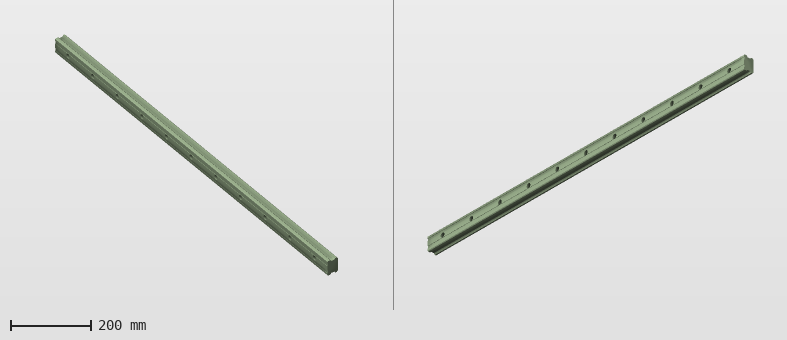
import math

import cadquery as cq

LENGTH = 1160.0
HEIGHT = 32.0
WIDTH = 45.0
HALF_WIDTH = WIDTH / 2
BASE_Y = -HEIGHT / 2
TOP_Y = HEIGHT / 2

BASE_CHAMFER = 2.0
WAIST_DEPTH = 4.0
WAIST_HALF_WIDTH = HALF_WIDTH - WAIST_DEPTH
WAIST_LOWER_Y = -3.5
FLANGE_Y = WAIST_LOWER_Y - WAIST_DEPTH

WAIST_UPPER_Y = 5.1
FLANK_LOWER_Y = 8.4
FLANK_UPPER_Y = 12.6
TOP_HALF_WIDTH = 19.4
LOWER_GROOVE_SAGITTA = 0.35
UPPER_GROOVE_SAGITTA = 0.5

BASE_GROOVE_INNER_Z = 7.0
BASE_GROOVE_OUTER_Z = 14.8
BASE_GROOVE_DEPTH = 1.0

HOLE_DIAMETER = 14.0
HOLE_PITCH = 105.0
HOLE_COUNT = 11


def groove_to(sketch, start, end, sagitta):
    """Continues the outline along a concave arc, bulging to the right of the direction of travel."""
    dy = end[0] - start[0]
    dz = end[1] - start[1]
    chord = math.hypot(dy, dz)
    middle = (
        (start[0] + end[0]) / 2 + sagitta * dz / chord,
        (start[1] + end[1]) / 2 - sagitta * dy / chord,
    )
    return sketch.threePointArc(middle, end)


def rail_half():
    """The half of the rail on the +Z side of its mid-plane."""
    waist_end = (WAIST_UPPER_Y, WAIST_HALF_WIDTH)
    flank_start = (FLANK_LOWER_Y, HALF_WIDTH)
    flank_end = (FLANK_UPPER_Y, HALF_WIDTH)
    top_corner = (TOP_Y, TOP_HALF_WIDTH)

    outline = (
        cq.Workplane("YZ", origin=(-LENGTH / 2, 0, 0))
        .moveTo(BASE_Y, 0)
        .lineTo(BASE_Y, HALF_WIDTH - BASE_CHAMFER)
        .lineTo(BASE_Y + BASE_CHAMFER, HALF_WIDTH)
        .lineTo(FLANGE_Y, HALF_WIDTH)
        .lineTo(WAIST_LOWER_Y, WAIST_HALF_WIDTH)
        .lineTo(*waist_end)
    )
    outline = groove_to(outline, waist_end, flank_start, LOWER_GROOVE_SAGITTA)
    outline = outline.lineTo(*flank_end)
    outline = groove_to(outline, flank_end, top_corner, UPPER_GROOVE_SAGITTA)
    return outline.lineTo(TOP_Y, 0).close().extrude(LENGTH)


def rail_body():
    half = rail_half()
    return half.union(half.mirror("XY")).clean()


def base_grooves():
    groove_width = BASE_GROOVE_OUTER_Z - BASE_GROOVE_INNER_Z
    groove_z = (BASE_GROOVE_OUTER_Z + BASE_GROOVE_INNER_Z) / 2
    return (
        cq.Workplane("XZ", origin=(0, BASE_Y, 0))
        .pushPoints([(0, -groove_z), (0, groove_z)])
        .rect(LENGTH, groove_width)
        .extrude(-BASE_GROOVE_DEPTH)
    )


def screw_holes():
    return (
        cq.Workplane("XZ", origin=(0, BASE_Y, 0))
        .rarray(HOLE_PITCH, 1, HOLE_COUNT, 1)
        .circle(HOLE_DIAMETER / 2)
        .extrude(-HEIGHT)
    )


result = rail_body().cut(base_grooves()).cut(screw_holes())